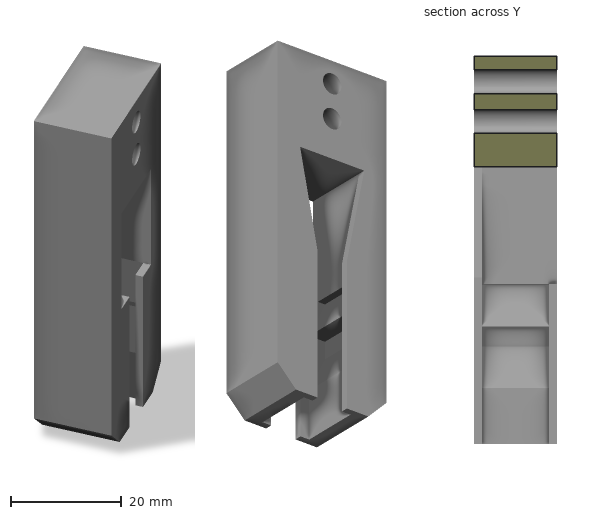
import cadquery as cq

thickness = 15.0
width = 25.0
height = 70.0
foot_chamfer = 4.2

slot_top_z = 50.0
taper_end_z = 30.0
slot_top_half_width = 7.35
slot_half_width = 3.35

hole_diameter = 4.2
top_hole_z = 65.3
hole_pitch = 7.15

wall = 1.5
tooth_half_gap = 5.355
root_half_width = 8.95
hollow_top_z = 28.85
upper_tip_z = 21.2
lower_tip_z = 10.1
tooth_slope = 0.48


def symmetric_prism(half_outline, start_x, length):
    """Extrude along X the (Y, Z) half outline mirrored about Y = 0."""
    mirrored = [(-y, z) for y, z in reversed(half_outline)]
    plane = cq.Workplane("YZ", origin=(start_x, 0, 0))
    return plane.polyline(half_outline + mirrored).close().extrude(length)


def make_body():
    half_width = width / 2
    return symmetric_prism(
        [
            (half_width - foot_chamfer, 0),
            (half_width, foot_chamfer),
            (half_width, height),
        ],
        0,
        thickness,
    )


def make_slot():
    return symmetric_prism(
        [
            (slot_half_width, 0),
            (slot_half_width, taper_end_z),
            (slot_top_half_width, slot_top_z),
        ],
        0,
        thickness,
    )


def make_hollow():
    slope_height = (root_half_width - tooth_half_gap) / tooth_slope
    half_outline = [(tooth_half_gap, 0)]
    for tip_z, roof_z in ((lower_tip_z, upper_tip_z), (upper_tip_z, hollow_top_z)):
        half_outline += [
            (tooth_half_gap, tip_z),
            (root_half_width, tip_z + slope_height),
            (root_half_width, roof_z),
        ]
    return symmetric_prism(half_outline, wall, thickness - 2 * wall)


def make_window():
    """Rectangular chamber above the hollow, open through the +X wall."""
    half_outline = [(slot_top_half_width, hollow_top_z), (slot_top_half_width, slot_top_z)]
    return symmetric_prism(half_outline, wall, thickness - wall)


def make_holes():
    centres = [(0, top_hole_z), (0, top_hole_z - hole_pitch)]
    return cq.Workplane("YZ").pushPoints(centres).circle(hole_diameter / 2).extrude(thickness)


result = make_body()
for void in (make_slot(), make_hollow(), make_window(), make_holes()):
    result = result.cut(void)